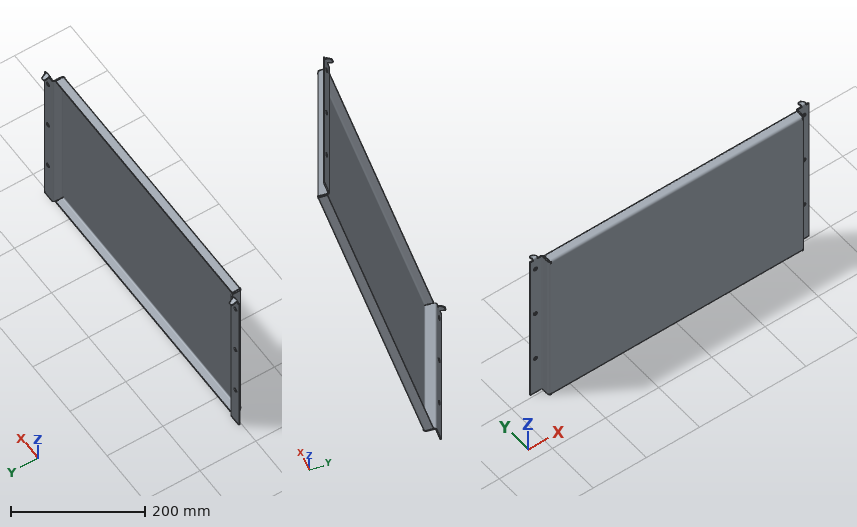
import cadquery as cq
import math

width = 524.0
sheet = 2.0
pan_height = 299.5
depth = 20.0
end_wall_depth = 15.5
flange_width = 21.5
side_inset = 1.5
end_wall_gap = 2.5
front_bend = 4.5
flange_bend = 1.5

hole_diameter = 7.0
hole_from_edge = 9.5
hole_pitch = 100.0
lowest_hole = 77.5

hook_width = 8.5
hook_tip_width = 5.0
hook_taper = 4.5
hook_reach = 9.5
hook_angle = 28
hook_bend = 2.5
hook_top = 302.0

pan_half_width = width / 2 - flange_width
flange_bottom = side_inset
flange_top = pan_height - side_inset
flange_length = flange_top - flange_bottom
hole_x = width / 2 - hole_from_edge


def rounded_block(half_width, front, bottom, top, radius):
    """Block from the given front plane to the end-wall depth, rounded along its two long front edges."""
    block = cq.Workplane("XY").box(
        2 * half_width, end_wall_depth - front, top - bottom, centered=(True, False, False)
    )
    return block.translate((0, front, bottom)).faces("<Y").edges("|X").fillet(radius)


def make_pan():
    """Front plate with the bent top and bottom walls, open at the back."""
    half_width = pan_half_width - end_wall_gap
    outer = rounded_block(half_width, 0, 0, pan_height, front_bend)
    inner = rounded_block(half_width, sheet, sheet, pan_height - sheet, front_bend - sheet)
    pan = outer.cut(inner)

    for side in (-1, 1):
        trim = cq.Workplane("XY").box(2 * front_bend, 2 * depth, pan_height - 2 * front_bend)
        pan = pan.cut(trim.translate((side * pan_half_width, 0, pan_height / 2)))
    return pan


def make_flange():
    """Left side of the sheet: flange, side wall and the rounded bends, up to the front plate."""
    wall_outer = -pan_half_width
    wall_inner = wall_outer + sheet
    outer_bend = flange_bend + sheet
    bend_x = wall_outer - flange_bend
    bend_y = depth - outer_bend
    front_x = wall_outer + front_bend
    inner_front_bend = front_bend - sheet
    diagonal = math.sqrt(0.5)
    return (
        cq.Workplane("XY", origin=(0, 0, flange_bottom))
        .moveTo(-width / 2, depth)
        .lineTo(bend_x, depth)
        .threePointArc((bend_x + outer_bend * diagonal, bend_y + outer_bend * diagonal), (wall_inner, bend_y))
        .lineTo(wall_inner, front_bend)
        .threePointArc((front_x - inner_front_bend * diagonal, front_bend - inner_front_bend * diagonal),
                       (front_x, sheet))
        .lineTo(front_x, 0)
        .threePointArc((front_x - front_bend * diagonal, front_bend - front_bend * diagonal),
                       (wall_outer, front_bend))
        .lineTo(wall_outer, bend_y)
        .threePointArc((bend_x + flange_bend * diagonal, bend_y + flange_bend * diagonal),
                       (bend_x, depth - sheet))
        .lineTo(-width / 2, depth - sheet)
        .close()
        .extrude(flange_length)
    )


def make_hook():
    """Left hook: a tab bent backward over the flange and sloping down to a narrower tip."""
    slope = math.radians(hook_angle)
    center_y = depth - sheet + hook_bend
    center_z = hook_top - hook_bend
    inner_bend = hook_bend - sheet
    end_angle = math.pi / 2 - slope
    middle_angle = (math.pi + end_angle) / 2

    def on_bend(radius, angle):
        return (center_y + radius * math.cos(angle), center_z + radius * math.sin(angle))

    outer_end = on_bend(hook_bend, end_angle)
    inner_end = on_bend(inner_bend, end_angle)
    tip_y = depth + hook_reach
    run = tip_y - outer_end[0]
    drop = run * math.tan(slope)
    section = (
        cq.Workplane("YZ", origin=(-hole_x - hook_width / 2, 0, 0))
        .moveTo(depth - sheet, flange_top - sheet)
        .lineTo(*on_bend(hook_bend, math.pi))
        .threePointArc(on_bend(hook_bend, middle_angle), outer_end)
        .lineTo(tip_y, outer_end[1] - drop)
        .lineTo(tip_y - sheet * math.sin(slope), outer_end[1] - drop - sheet * math.cos(slope))
        .lineTo(*inner_end)
        .threePointArc(on_bend(inner_bend, middle_angle), on_bend(inner_bend, math.pi))
        .lineTo(depth, flange_top - sheet)
        .close()
        .extrude(hook_width)
    )
    plan = (
        cq.Workplane("XY", origin=(-hole_x, 0, 0))
        .moveTo(-hook_width / 2, 0)
        .lineTo(hook_width / 2, 0)
        .lineTo(hook_width / 2, tip_y - hook_taper)
        .lineTo(hook_tip_width / 2, tip_y)
        .lineTo(-hook_tip_width / 2, tip_y)
        .lineTo(-hook_width / 2, tip_y - hook_taper)
        .close()
        .extrude(hook_top)
    )
    return section.intersect(plan)


def make_holes():
    """Three through holes in each flange."""
    points = [(side * hole_x, lowest_hole + row * hole_pitch) for side in (-1, 1) for row in range(3)]
    return cq.Workplane("XZ").pushPoints(points).circle(hole_diameter / 2).extrude(-2 * depth)


left_side = make_flange().union(make_hook())
right_side = left_side.mirror("YZ")
result = make_pan().union(left_side).union(right_side).cut(make_holes())